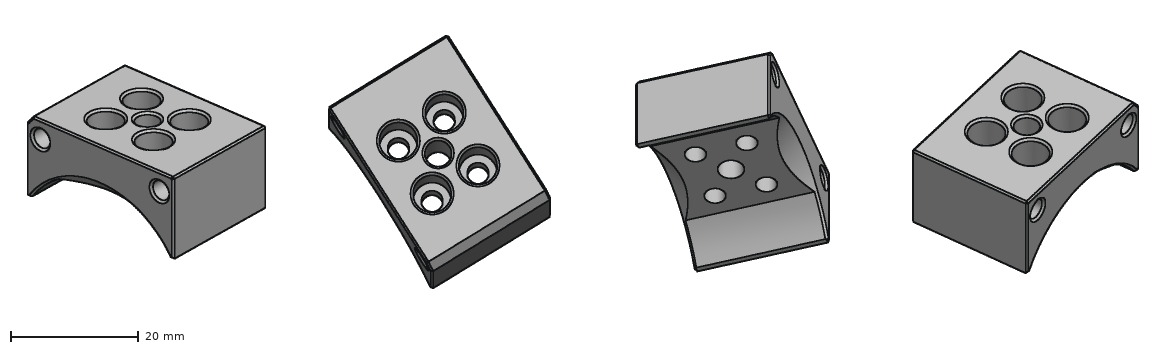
import cadquery as cq

length = 30.8
width = 22.18
height = 14.75
edge_chamfer = 0.3
bevel_run = 1.4
bevel_drop = 1.63

saddle_radius = 17.5
saddle_axis_z = -9.8
saddle_flare = 0.43
pad_thickness = 9.52
pad_z = height - pad_thickness

hole_diameter = 3.4
hole_chamfer = 0.4
side_hole_spacing = 24.95
side_hole_depth_from_top = 3.5
counterbore_diameter = 6.0
counterbore_depth = 6.0
bolt_spacing_x = 10.0
bolt_spacing_y = 8.5
bolt_pattern_y = 0.25
center_hole_diameter = 4.2


def make_block():
    """Bevelled block with every edge of its two end faces chamfered."""
    half_length = length / 2
    profile = [
        (-half_length, 0),
        (half_length, 0),
        (half_length, height - edge_chamfer),
        (half_length - edge_chamfer, height),
        (-half_length + bevel_run, height),
        (-half_length, height - bevel_drop),
    ]
    block = cq.Workplane("XZ").polyline(profile).close().extrude(width / 2, both=True)
    return block.faces("<Y or >Y").chamfer(edge_chamfer)


def make_saddle():
    """Cylinder along Y that opens into a 45 degree cone at each end face."""
    half_width = width / 2
    mouth_radius = saddle_radius + saddle_flare
    tip_radius = pad_z - saddle_axis_z
    cone_depth = mouth_radius - tip_radius

    cylinder = (
        cq.Workplane("XZ", origin=(0, half_width, saddle_axis_z))
        .circle(saddle_radius)
        .extrude(width)
    )
    below_pad = (
        cq.Workplane("XY", origin=(0, 0, pad_z))
        .rect(2 * saddle_radius, width)
        .extrude(saddle_axis_z - saddle_radius - pad_z)
    )
    saddle = cylinder.intersect(below_pad)

    for end in (-1, 1):
        cone = cq.Solid.makeCone(
            mouth_radius,
            tip_radius,
            cone_depth,
            pnt=cq.Vector(0, end * half_width, saddle_axis_z),
            dir=cq.Vector(0, -end, 0),
        )
        saddle = saddle.union(cq.Workplane(cone))
    return saddle


def chamfered_hole(diameter, depth, mouth, direction):
    """Round hole cutter starting at mouth, with a 45 degree countersunk rim."""
    start = cq.Vector(*mouth)
    axis = cq.Vector(*direction)
    radius = diameter / 2
    bore = cq.Solid.makeCylinder(radius, depth, start, axis)
    rim = cq.Solid.makeCone(radius + hole_chamfer, radius, hole_chamfer, start, axis)
    return cq.Workplane(bore).union(cq.Workplane(rim))


def cut_side_holes(body):
    """Two holes through the block along Y, countersunk at both ends."""
    z = height - side_hole_depth_from_top
    for x in (-side_hole_spacing / 2, side_hole_spacing / 2):
        for end in (-1, 1):
            mouth = (x, end * width / 2, z)
            body = body.cut(chamfered_hole(hole_diameter, width / 2, mouth, (0, -end, 0)))
    return body


def cut_top_holes(body):
    """Four counterbored bolt holes around one plain hole, all through to the pad."""
    down = (0, 0, -1)
    bolt_centers = (
        cq.Workplane("XY", origin=(0, bolt_pattern_y, height))
        .rect(bolt_spacing_x, bolt_spacing_y)
        .vertices()
        .vals()
    )
    for center in bolt_centers:
        mouth = center.toTuple()
        body = body.cut(chamfered_hole(counterbore_diameter, counterbore_depth, mouth, down))
        bolt_hole = cq.Solid.makeCylinder(
            hole_diameter / 2, height, cq.Vector(*mouth), cq.Vector(*down)
        )
        body = body.cut(cq.Workplane(bolt_hole))

    center_mouth = (0, bolt_pattern_y, height)
    return body.cut(chamfered_hole(center_hole_diameter, height, center_mouth, down))


body = make_block().cut(make_saddle())
body = cut_side_holes(body)
result = cut_top_holes(body)